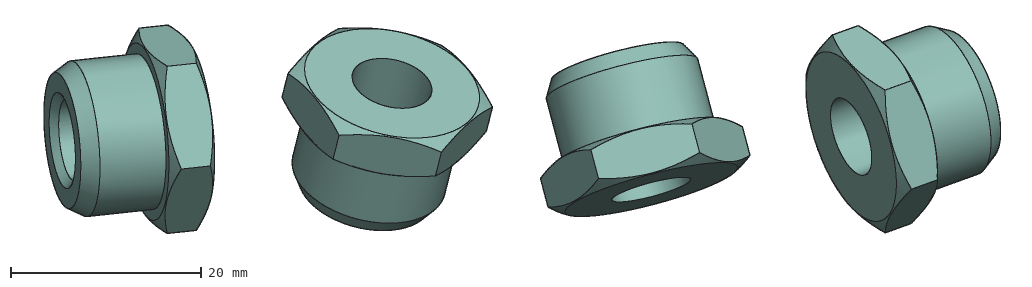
import cadquery as cq
import math

across_corners = 21.95
total_length = 14.0
head_length = 5.0
head_face_diameter = 18.75
shank_diameter = 16.48
shank_chamfer_length = 1.8
bore_diameter = 8.55
countersink_diameter = 10.18
chamfer_angle = math.radians(30)

corner_radius = across_corners / 2
head_face_radius = head_face_diameter / 2
corner_drop = (corner_radius - head_face_radius) * math.tan(chamfer_angle)
shank_radius = shank_diameter / 2
tip_radius = shank_radius - shank_chamfer_length * math.tan(chamfer_angle)
shank_length = total_length - head_length
bore_radius = bore_diameter / 2
countersink_radius = countersink_diameter / 2
countersink_depth = countersink_radius - bore_radius


def revolve_about_y(profile):
    """Revolve a closed (radius, Y) outline about the Y axis."""
    return cq.Workplane("XY").polyline(profile).close().revolve(360, (0, 0, 0), (0, 1, 0))


def make_head():
    """Hexagon with corners on the X axis, conically chamfered on both faces."""
    hexagon = cq.Workplane("XZ").polygon(6, across_corners).extrude(-head_length)
    corner_envelope = revolve_about_y([
        (0, 0),
        (head_face_radius, 0),
        (corner_radius, corner_drop),
        (corner_radius, head_length - corner_drop),
        (head_face_radius, head_length),
        (0, head_length),
    ])
    return hexagon.intersect(corner_envelope)


def make_shank():
    """Round shank with a tapered tip, reaching from the head toward -Y."""
    return revolve_about_y([
        (0, 0),
        (shank_radius, 0),
        (shank_radius, shank_chamfer_length - shank_length),
        (tip_radius, -shank_length),
        (0, -shank_length),
    ])


def make_bore():
    """Through bore with a countersink at the shank tip."""
    return revolve_about_y([
        (0, -shank_length),
        (countersink_radius, -shank_length),
        (bore_radius, countersink_depth - shank_length),
        (bore_radius, head_length),
        (0, head_length),
    ])


result = make_head().union(make_shank()).cut(make_bore())